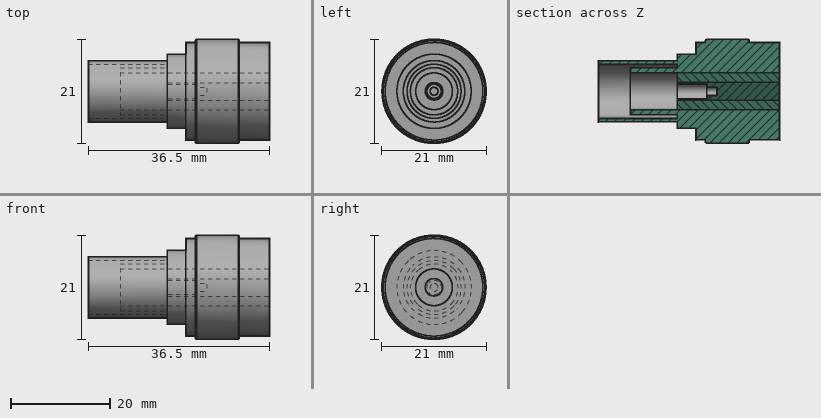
import cadquery as cq

overall_length = 36.47

sleeve_radius = 6.19
sleeve_length = 15.84
collar_radius = 7.48
collar_length = 3.80
barrel_radius = 9.83
band_radius = 10.49
band_start = 21.50
band_length = 8.88
band_chamfer = 0.27
collar_end = sleeve_length + collar_length

sleeve_bore_radius = 5.44
stem_radius = 4.76
stem_bore_radius = 3.70
stem_start = 6.46
cable_stop = sleeve_length

contact_radius = 1.76
conductor_bore_radius = 1.45
conductor_bore_depth = 6.0
pilot_bore_radius = 0.80
pilot_bore_depth = 2.0


def cylinder(radius, start, end):
    """Solid cylinder on the X axis between two X positions."""
    return cq.Workplane("YZ").workplane(offset=start).circle(radius).extrude(end - start)


def tube(outer_radius, inner_radius, start, end):
    """Hollow cylinder on the X axis between two X positions."""
    return (
        cq.Workplane("YZ")
        .workplane(offset=start)
        .circle(outer_radius)
        .circle(inner_radius)
        .extrude(end - start)
    )


def make_shell():
    """Metal shell with its crimp sleeve and inner stem, open along the axis."""
    band = cylinder(band_radius, band_start, band_start + band_length).edges().chamfer(band_chamfer)
    outside = (
        cylinder(sleeve_radius, 0, sleeve_length)
        .union(cylinder(collar_radius, sleeve_length, collar_end))
        .union(cylinder(barrel_radius, collar_end, overall_length))
        .union(band)
    )
    cable_entry = cylinder(sleeve_bore_radius, 0, stem_start)
    braid_gap = tube(sleeve_bore_radius, stem_radius, stem_start, cable_stop)
    stem_bore = cylinder(stem_bore_radius, stem_start, overall_length)
    return outside.cut(cable_entry).cut(braid_gap).cut(stem_bore)


def make_insulator():
    """Insulating bush that fills the shell bore ahead of the cable stop."""
    return tube(stem_bore_radius, contact_radius, cable_stop, overall_length)


def make_contact():
    """Centre contact carried by the insulator."""
    conductor_bore_end = cable_stop + conductor_bore_depth
    conductor_bore = cylinder(conductor_bore_radius, cable_stop, conductor_bore_end)
    pilot_bore = cylinder(pilot_bore_radius, conductor_bore_end, conductor_bore_end + pilot_bore_depth)
    return cylinder(contact_radius, cable_stop, overall_length).cut(conductor_bore).cut(pilot_bore)


shell = make_shell()
insulator = make_insulator()
contact = make_contact()

result = cq.Compound.makeCompound([shell.val(), insulator.val(), contact.val()])